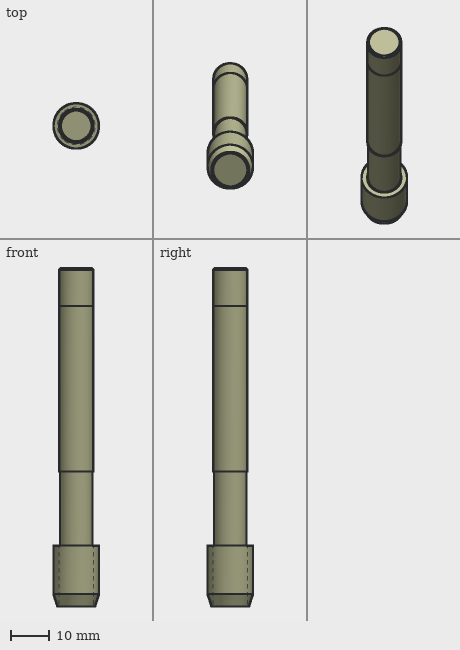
import cadquery as cq

TOTAL_HEIGHT = 89.0
BUSHING_HEIGHT = 16.0
HEAD_LENGTH = 10.0
RELIEF_LENGTH = 19.5

BUSHING_DIAMETER = 12.0
BUSHING_TIP_DIAMETER = 9.9
BUSHING_TAPER_HEIGHT = 3.25

HEAD_DIAMETER = 9.0
GUIDE_DIAMETER = 8.98
RELIEF_DIAMETER = 8.6
SEAT_DIAMETER = HEAD_DIAMETER
TOP_CHAMFER = 0.45

relief_top = BUSHING_HEIGHT + RELIEF_LENGTH
head_bottom = TOTAL_HEIGHT - HEAD_LENGTH


def revolve_about_z(profile):
    """Solid of revolution about Z from (radius, height) points."""
    return cq.Workplane("XZ").polyline(profile).close().revolve(360, (0, 0), (0, 1))


def make_bushing():
    """Sleeve with a tapered lower end and a through bore for the pin."""
    bore_radius = SEAT_DIAMETER / 2
    outer_radius = BUSHING_DIAMETER / 2
    return revolve_about_z([
        (bore_radius, 0),
        (BUSHING_TIP_DIAMETER / 2, 0),
        (outer_radius, BUSHING_TAPER_HEIGHT),
        (outer_radius, BUSHING_HEIGHT),
        (bore_radius, BUSHING_HEIGHT),
    ])


def make_pin():
    """Stepped pin: seat inside the bushing, relieved neck, guide and chamfered head."""
    head_radius = HEAD_DIAMETER / 2
    return revolve_about_z([
        (0, 0),
        (SEAT_DIAMETER / 2, 0),
        (SEAT_DIAMETER / 2, BUSHING_HEIGHT),
        (RELIEF_DIAMETER / 2, BUSHING_HEIGHT),
        (RELIEF_DIAMETER / 2, relief_top),
        (GUIDE_DIAMETER / 2, relief_top),
        (GUIDE_DIAMETER / 2, head_bottom),
        (head_radius, head_bottom),
        (head_radius, TOTAL_HEIGHT - TOP_CHAMFER),
        (head_radius - TOP_CHAMFER, TOTAL_HEIGHT),
        (0, TOTAL_HEIGHT),
    ])


bushing = make_bushing()
pin = make_pin()

result = cq.Compound.makeCompound([bushing.val(), pin.val()])